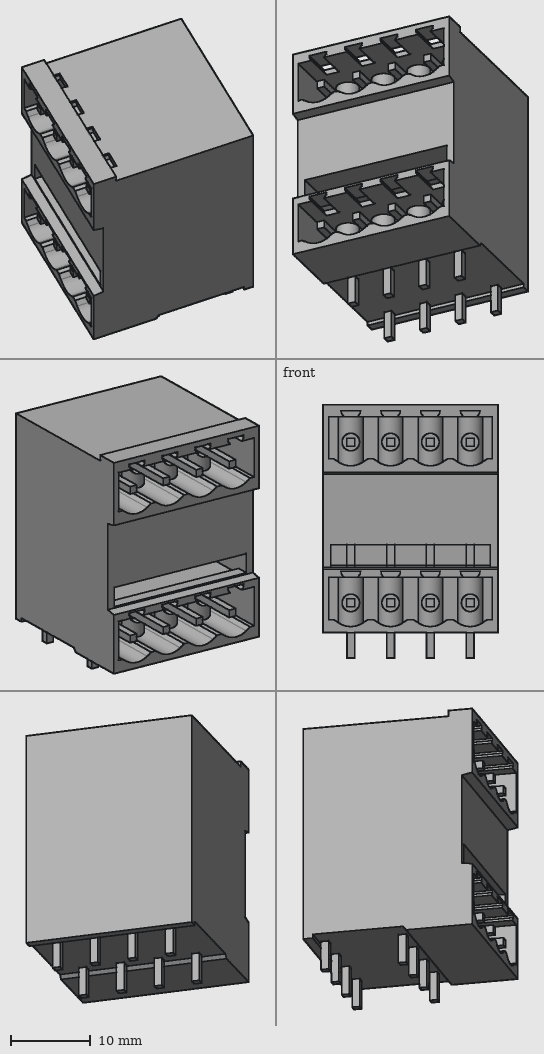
import cadquery as cq


pole_count = 4
pole_pitch = 5.0
end_margin = 1.0
width = pole_count * pole_pitch + 2 * end_margin
depth = 22.0
height = 28.65
row_pitch = 20.2
roof_step = 0.75
flange_depth = 3.1

waist_depth = 1.35
waist_top_drop = 8.75
waist_height = 11.65
waist_top = height - waist_top_drop
waist_bottom = waist_top - waist_height
waist_taper = 0.25

foot_height = 0.5
rear_foot_depth = 1.25
front_foot_depth = 8.6
foot_chamfer = 0.4

pin_size = 1.0
pin_tip_y = 0.8
pin_protrusion = 3.2
pin_drop = 4.7
front_leg_y = 9.9
rear_leg_y = 20.0

cavity_width = 20.5
cavity_depth = 8.5
cavity_ceiling_drop = 1.5
cavity_floor_drop = 6.8
scallop_depth = 0.88
scallop_width = 4.3
flank_drop = 0.4
column_diameter = 3.1
well_diameter = 2.2

groove_length = 4.2
groove_top_width = 2.4
groove_bottom_width = 1.75
groove_straight = 0.3

window_width = pole_count * pole_pitch
window_top_drop = 17.6
window_top = height - window_top_drop
window_depth = rear_leg_y - pin_size / 2

upper_storey_top = height
lower_storey_top = height - row_pitch
storey_tops = (upper_storey_top, lower_storey_top)
pole_xs = [(i - (pole_count - 1) / 2) * pole_pitch for i in range(pole_count)]


def box(x_size, x_center, y_start, y_end, z_start, z_end):
    """Box centred on x_center, between the given Y and Z limits."""
    size = (x_size, y_end - y_start, z_end - z_start)
    return cq.Workplane("XY").box(*size, centered=(True, False, False)).translate((x_center, y_start, z_start))


def front_plane(y=0.0):
    """Plane facing -Y with local axes X and Z; a negative extrusion runs toward +Y."""
    return cq.Workplane("XZ", origin=(0, y, 0))


def housing_block():
    """Side profile extruded over the full width."""
    recess_start = front_foot_depth + foot_chamfer
    recess_end = depth - rear_foot_depth
    profile = [
        (0, 0),
        (front_foot_depth, 0),
        (recess_start, foot_height),
        (recess_end, foot_height),
        (recess_end, 0),
        (depth, 0),
        (depth, height - roof_step),
        (flange_depth, height - roof_step),
        (flange_depth, height),
        (0, height),
        (0, waist_top + waist_taper),
        (waist_depth, waist_top),
        (waist_depth, waist_bottom),
        (0, waist_bottom - waist_taper),
    ]
    return cq.Workplane("YZ").polyline(profile).close().extrude(width / 2, both=True)


def cavity(storey_top):
    """Plug cavity with a scalloped floor, less the columns left standing on its back wall."""
    ceiling = storey_top - cavity_ceiling_drop
    floor = storey_top - cavity_floor_drop
    arc_edge = column_diameter / 2
    outline = front_plane().moveTo(-cavity_width / 2, ceiling).lineTo(-cavity_width / 2, floor)
    for x in pole_xs:
        outline = (
            outline.lineTo(x - scallop_width / 2, floor)
            .lineTo(x - arc_edge, floor - flank_drop)
            .threePointArc((x, floor - scallop_depth), (x + arc_edge, floor - flank_drop))
            .lineTo(x + scallop_width / 2, floor)
        )
    outline = outline.lineTo(cavity_width / 2, floor).lineTo(cavity_width / 2, ceiling).close()
    space = outline.extrude(-cavity_depth)

    columns = (
        cq.Workplane("XY", origin=(0, cavity_depth, floor - scallop_depth))
        .pushPoints([(x, 0) for x in pole_xs])
        .circle(column_diameter / 2)
        .extrude(ceiling - floor + scallop_depth)
    )
    return space.cut(columns)


def pin_wells(storey_top):
    """Round wells through the columns, ending at the cavity's back wall."""
    return (
        front_plane(cavity_depth - column_diameter / 2)
        .pushPoints([(x, storey_top - pin_drop) for x in pole_xs])
        .circle(well_diameter / 2)
        .extrude(-column_diameter / 2)
    )


def coding_groove(x, storey_top):
    """Groove through the roof, narrowing downward, from the front to just behind the flange."""
    top = storey_top - roof_step
    bottom = storey_top - cavity_ceiling_drop
    profile = [
        (x - groove_top_width / 2, top),
        (x + groove_top_width / 2, top),
        (x + groove_top_width / 2, top - groove_straight),
        (x + groove_bottom_width / 2, bottom),
        (x - groove_bottom_width / 2, bottom),
        (x - groove_top_width / 2, top - groove_straight),
    ]
    return front_plane().polyline(profile).close().extrude(-groove_length)


def window():
    """Opening over the lower storey: a lip as deep as the flange, then a step down to the roof."""
    lip = box(window_width, 0, 0, window_depth, lower_storey_top, window_top)
    well = box(window_width, 0, flange_depth, window_depth, lower_storey_top - roof_step, window_top)
    return lip.union(well)


def bent_pin(x, storey_top, leg_y):
    """Square pin: a blade along Y whose rear end turns down into a solder leg."""
    axis_z = storey_top - pin_drop
    half = pin_size / 2
    blade = box(pin_size, x, pin_tip_y, leg_y + half, axis_z - half, axis_z + half)
    leg = box(pin_size, x, leg_y - half, leg_y + half, -pin_protrusion, axis_z + half)
    return blade.union(leg)


pins = []
for storey_top, leg_y in ((upper_storey_top, rear_leg_y), (lower_storey_top, front_leg_y)):
    for x in pole_xs:
        pins.append(bent_pin(x, storey_top, leg_y))

housing = housing_block().cut(window())
for storey_top in storey_tops:
    housing = housing.cut(cavity(storey_top)).cut(pin_wells(storey_top))
    for x in pole_xs:
        housing = housing.cut(coding_groove(x, storey_top))
for pin in pins:
    housing = housing.cut(pin)

result = cq.Compound.makeCompound([housing.val(), *[pin.val() for pin in pins]])